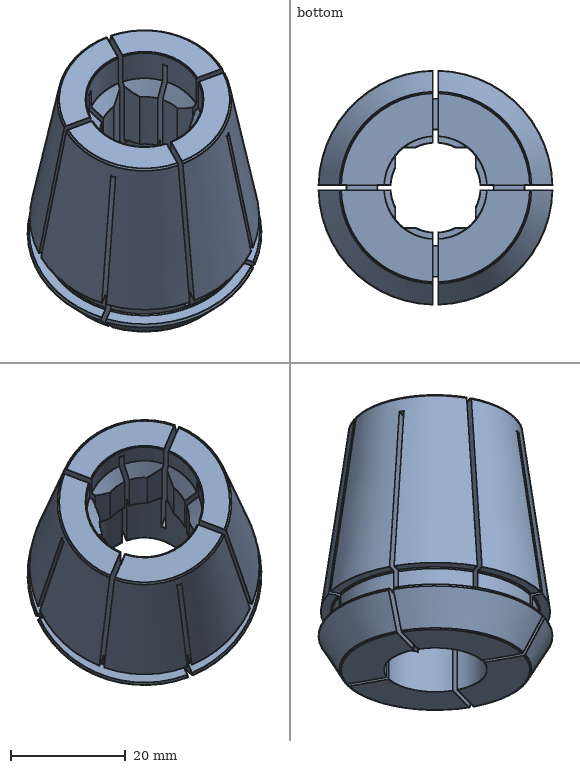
import cadquery as cq
import math

height = 46
taper_angle = 8
body_radius = 20.0
body_base = 11.22
rim_chamfer = 0.3

flange_diameter = 40.8
flange_top = 7.05
flange_bevel_height = 0.5
flange_bevel_width = 0.3
nose_angle = 30
nose_chamfer = 0.2
groove_radius = 18.05
groove_relief = 0.25

shank_radius = 8.95
shank_depth = 22.1
square_side = 14.0
square_relief_radius = 7.8
upper_bore_radius = 10.1
funnel_top = 38.35
funnel_angle = 45
bore_chamfer = 0.2

slot_width = 0.87
nose_slot_top = 43.05
top_slot_floor = 7.5

flange_radius = flange_diameter / 2
rim_level = height - rim_chamfer
rim_radius = body_radius - (rim_level - body_base) * math.tan(math.radians(taper_angle))
nose_slope = math.tan(math.radians(nose_angle))
flange_edge_level = flange_top - flange_bevel_height
nose_base_radius = flange_radius - flange_edge_level * nose_slope
funnel_tip = funnel_top - upper_bore_radius / math.tan(math.radians(funnel_angle))


def revolve_profile(points):
    """Turn (radius, level) points around the Z axis."""
    return cq.Workplane("XZ").polyline(points).close().revolve(360, (0, 0, 0), (0, 1, 0))


def outer_body():
    return revolve_profile([
        (0, 0),
        (nose_base_radius - nose_chamfer, 0),
        (nose_base_radius + nose_chamfer * nose_slope, nose_chamfer),
        (flange_radius, flange_edge_level),
        (flange_radius - flange_bevel_width, flange_top),
        (groove_radius + groove_relief, flange_top),
        (groove_radius, flange_top + groove_relief),
        (groove_radius, body_base - groove_relief),
        (groove_radius + groove_relief, body_base),
        (body_radius, body_base),
        (rim_radius, rim_level),
        (rim_radius - rim_chamfer, height),
        (0, height),
    ])


def shank_bore():
    return cq.Workplane("XY").circle(shank_radius).extrude(shank_depth)


def drive_square():
    """Square with rounded-out flats, from the shank bore up into the funnel."""
    seat = cq.Workplane("XY").workplane(offset=shank_depth)
    length = funnel_top - shank_depth
    square = seat.rect(square_side, square_side).extrude(length)
    relief = seat.circle(square_relief_radius).extrude(length)
    return square.union(relief)


def upper_bore():
    return revolve_profile([
        (0, funnel_tip),
        (upper_bore_radius, funnel_top),
        (upper_bore_radius, height - bore_chamfer),
        (upper_bore_radius + bore_chamfer, height),
        (0, height),
    ])


def crossed_slots(bottom, top):
    """Two slots at right angles through the axis, along X and Y."""
    length = 2 * (flange_radius + slot_width)
    plane = cq.Workplane("XY").workplane(offset=bottom)
    along_x = plane.rect(length, slot_width).extrude(top - bottom)
    along_y = plane.rect(slot_width, length).extrude(top - bottom)
    return along_x.union(along_y)


nose_slots = crossed_slots(0, nose_slot_top)
top_slots = crossed_slots(top_slot_floor, height).rotate((0, 0, 0), (0, 0, 1), 45)

result = outer_body()
for cutter in (shank_bore(), drive_square(), upper_bore(), nose_slots, top_slots):
    result = result.cut(cutter)